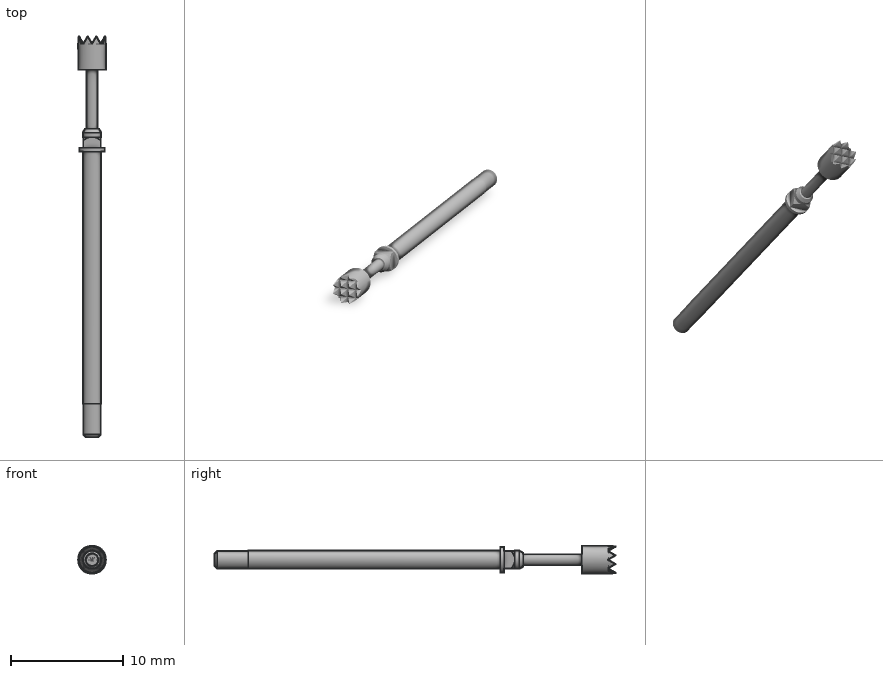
import cadquery as cq
import math


total_length = 35.8
head_length = 3.0
head_to_neck = 8.25
neck_cone_length = 0.35
neck_length = 0.75
flange_thickness = 0.35
head_to_flange = 10.3
tail_length = 3.0
tail_chamfer = 0.25

head_diameter = 2.5
plunger_diameter = 1.0
neck_tip_diameter = 1.25
barrel_diameter = 1.65
tail_diameter = 1.6
flange_diameter = 2.3
square_width = 1.6

groove_count = 3
groove_pitch = 0.77
groove_angle = 60.0
groove_depth = groove_pitch / 2 / math.tan(math.radians(groove_angle / 2))

tip_y = head_to_flange
head_back_y = tip_y - head_length
neck_front_y = tip_y - head_to_neck
square_front_y = neck_front_y - neck_length
flange_front_y = flange_thickness
end_y = tip_y - total_length
tail_front_y = end_y + tail_length


def cylinder(diameter, start_y, stop_y):
    """Round bar on the Y axis between two stations."""
    plane = cq.Workplane("XZ", origin=(0, stop_y, 0))
    return plane.circle(diameter / 2).extrude(stop_y - start_y)


def groove(offset):
    """V-groove along Z, with its root at X = offset and open at the head tips."""
    half_width = groove_pitch / 2
    return (
        cq.Workplane("XY", origin=(offset, tip_y, 0))
        .moveTo(0, -groove_depth)
        .lineTo(half_width, 0)
        .lineTo(-half_width, 0)
        .close()
        .extrude(head_diameter, both=True)
    )


def make_head():
    head = cylinder(head_diameter, head_back_y, tip_y)
    for index in range(groove_count):
        cutter = groove((index - (groove_count - 1) / 2) * groove_pitch)
        head = head.cut(cutter)
        head = head.cut(cutter.rotate((0, 0, 0), (0, 1, 0), 90))
    return head


def make_neck():
    """Round neck in front of the square, tapering toward the plunger."""
    neck_radius = barrel_diameter / 2
    return (
        cq.Workplane("XY")
        .moveTo(0, square_front_y)
        .lineTo(neck_radius, square_front_y)
        .lineTo(neck_radius, neck_front_y - neck_cone_length)
        .lineTo(neck_tip_diameter / 2, neck_front_y)
        .lineTo(0, neck_front_y)
        .close()
        .revolve(360, (0, 0, 0), (0, 1, 0))
    )


def make_square():
    """Square key whose front corners are turned down by a 45 degree cone."""
    square = (
        cq.Workplane("XZ", origin=(0, square_front_y, 0))
        .rect(square_width, square_width)
        .extrude(square_front_y)
    )
    front_radius = barrel_diameter / 2
    cone = (
        cq.Workplane("XY")
        .lineTo(front_radius + square_front_y, 0)
        .lineTo(front_radius, square_front_y)
        .lineTo(0, square_front_y)
        .close()
        .revolve(360, (0, 0, 0), (0, 1, 0))
    )
    return square.intersect(cone)


def make_tail():
    tail = cylinder(tail_diameter, end_y, tail_front_y)
    return tail.faces("<Y").chamfer(tail_chamfer)


plunger = cylinder(plunger_diameter, 0, head_back_y)
flange = cylinder(flange_diameter, 0, flange_front_y)
barrel = cylinder(barrel_diameter, tail_front_y, 0)

result = (
    barrel.union(make_tail())
    .union(flange)
    .union(make_neck())
    .union(make_square())
    .union(plunger)
    .union(make_head())
)